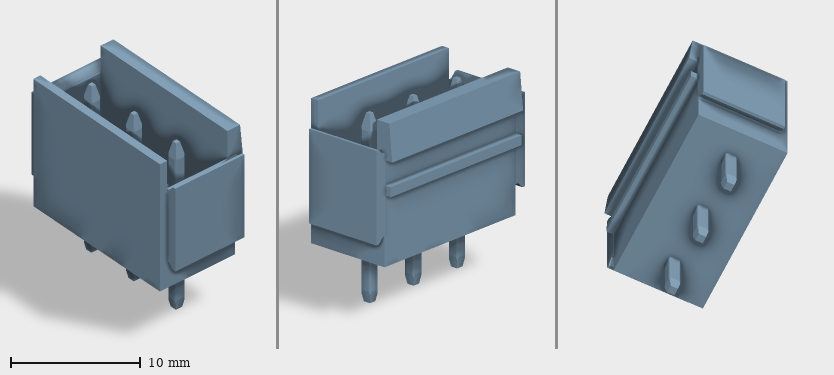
import cadquery as cq


overall_length = 17.0
body_length = 15.0
body_height = 12.0
body_depth = 7.63
floor_thickness = 3.2
front_wall_thickness = 0.73
back_wall_inner_y = 6.83

lip_tip_y = 8.43
lip_top_y = 8.13
lip_bottom_z = 8.85

ridge_tip_y = 8.26
ridge_bottom_z = 5.95
ridge_height = 0.82

plate_thickness = (overall_length - body_length) / 2
plate_front_y = 0.7
plate_depth = 7.0
plate_bottom_z = 2.1
plate_height = 7.8
plate_edge_width = 0.25
plate_edge_bevel = 0.5

pin_count = 3
pin_pitch = 5.0
pin_y = 3.8
pin_width = 1.0
pin_corner_radius = 0.2
pin_bottom_z = -4.5
pin_top_z = 11.08
bottom_taper_length = 1.0
bottom_tip_width = 0.63
top_taper_length = 1.36
top_tip_width = 0.39

pin_positions = [
    (pin_pitch * (index - (pin_count - 1) / 2), pin_y) for index in range(pin_count)
]


def extrude_along_row(profile):
    """Extrude a closed YZ profile over the body length, centred on X = 0."""
    return profile.extrude(body_length / 2, both=True)


def make_trough():
    """Floor with its front wall and back wall, open at both ends."""
    return extrude_along_row(
        cq.Workplane("YZ")
        .moveTo(0, 0)
        .lineTo(body_depth, 0)
        .lineTo(body_depth, body_height)
        .lineTo(back_wall_inner_y, body_height)
        .lineTo(back_wall_inner_y, floor_thickness)
        .lineTo(front_wall_thickness, floor_thickness)
        .lineTo(front_wall_thickness, body_height)
        .lineTo(0, body_height)
        .close()
    )


def make_latch_lip():
    return extrude_along_row(
        cq.Workplane("YZ")
        .moveTo(back_wall_inner_y, lip_bottom_z)
        .lineTo(lip_tip_y, lip_bottom_z)
        .lineTo(lip_top_y, body_height)
        .lineTo(back_wall_inner_y, body_height)
        .close()
    )


def make_ridge():
    return extrude_along_row(
        cq.Workplane("YZ")
        .moveTo(back_wall_inner_y, ridge_bottom_z)
        .lineTo(ridge_tip_y, ridge_bottom_z)
        .lineTo(ridge_tip_y, ridge_bottom_z + ridge_height)
        .lineTo(back_wall_inner_y, ridge_bottom_z + ridge_height)
        .close()
    )


def make_end_plate(side):
    """Plate closing one end of the trough; side is -1 for the -X end, +1 for the +X end."""
    inner_x = side * body_length / 2
    outer_x = side * overall_length / 2
    edge_x = outer_x - side * plate_edge_width
    step_x = edge_x - side * plate_edge_bevel
    top_z = plate_bottom_z + plate_height
    return (
        cq.Workplane("XZ", origin=(0, plate_front_y, 0))
        .moveTo(outer_x, plate_bottom_z)
        .lineTo(edge_x, plate_bottom_z)
        .lineTo(step_x, plate_bottom_z + plate_edge_bevel)
        .lineTo(inner_x, plate_bottom_z + plate_edge_bevel)
        .lineTo(inner_x, top_z - plate_edge_bevel)
        .lineTo(step_x, top_z - plate_edge_bevel)
        .lineTo(edge_x, top_z)
        .lineTo(outer_x, top_z)
        .close()
        .extrude(-plate_depth)
    )


def make_pin_hole(x, y):
    """Through hole in the floor with the same rounded section as the pin."""
    return (
        cq.Workplane("XY", origin=(x, y, 0))
        .rect(pin_width, pin_width)
        .extrude(floor_thickness)
        .edges("|Z")
        .fillet(pin_corner_radius)
    )


def make_housing():
    housing = make_trough().union(make_latch_lip()).union(make_ridge())
    for side in (-1, 1):
        housing = housing.union(make_end_plate(side))
    for x, y in pin_positions:
        housing = housing.cut(make_pin_hole(x, y))
    return housing


def make_tapered_envelope(x, y):
    """Square bar with sharp corners and a pyramid taper at each end."""
    taper_start_z = pin_top_z - top_taper_length
    taper_end_z = pin_bottom_z + bottom_taper_length
    shaft = (
        cq.Workplane("XY", origin=(x, y, taper_end_z))
        .rect(pin_width, pin_width)
        .extrude(taper_start_z - taper_end_z)
    )
    top_taper = (
        cq.Workplane("XY", origin=(x, y, taper_start_z))
        .rect(pin_width, pin_width)
        .workplane(offset=top_taper_length)
        .rect(top_tip_width, top_tip_width)
        .loft(ruled=True)
    )
    bottom_taper = (
        cq.Workplane("XY", origin=(x, y, pin_bottom_z))
        .rect(bottom_tip_width, bottom_tip_width)
        .workplane(offset=bottom_taper_length)
        .rect(pin_width, pin_width)
        .loft(ruled=True)
    )
    return shaft.union(top_taper).union(bottom_taper)


def make_pin(x, y):
    """Round-cornered bar trimmed to the tapered envelope."""
    return (
        cq.Workplane("XY", origin=(x, y, pin_bottom_z))
        .rect(pin_width, pin_width)
        .extrude(pin_top_z - pin_bottom_z)
        .edges("|Z")
        .fillet(pin_corner_radius)
        .intersect(make_tapered_envelope(x, y))
    )


housing = make_housing()
pins = [make_pin(x, y) for x, y in pin_positions]

result = cq.Compound.makeCompound([housing.val(), *[pin.val() for pin in pins]])